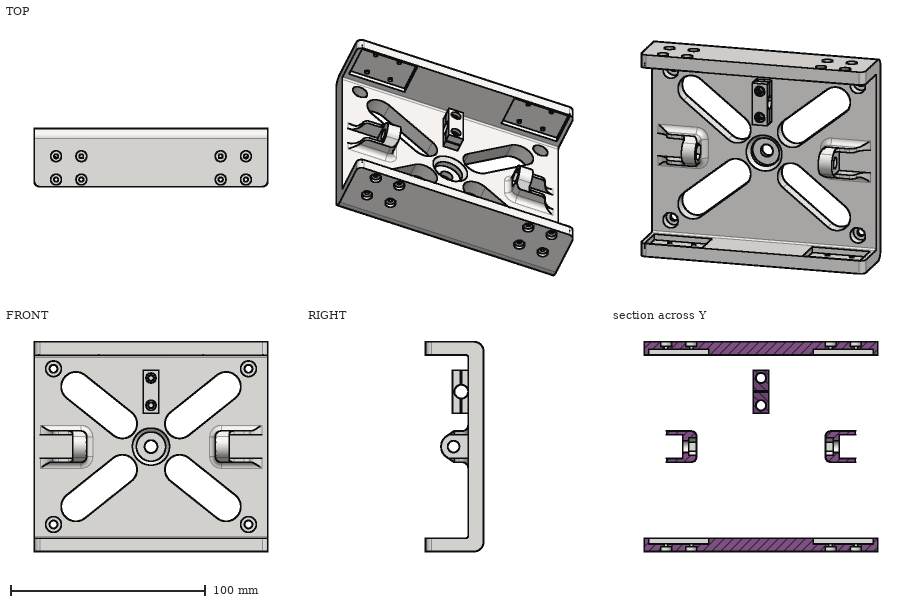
import cadquery as cq
import math


WIDTH = 120.0
DEPTH = 30.0
HEIGHT = 107.8
PLATE_THICK = 8.0
FLANGE_THICK = 7.0
BACK_ROUND = 5.0
INNER_FILLET = 1.0
FLANGE_CORNER_R = 3.0
FRONT_Y = PLATE_THICK - DEPTH
FLANGE_INNER_Z = HEIGHT / 2 - FLANGE_THICK

MOUNT_X = 50.0
MOUNT_Z = 40.0
MOUNT_DIA = 4.0
MOUNT_BORE_DIA = 8.0
MOUNT_BORE_DEPTH = 6.0

SLOT_WIDTH = 15.0
SLOT_INNER_REACH = 18.8
SLOT_OUTER_REACH = 49.3
SLOT_ANGLE = math.degrees(math.atan2(MOUNT_Z, MOUNT_X))

CENTRE_DIA = 6.5
CENTRE_BORE_DIA = 15.0
CENTRE_BORE_DEPTH = 4.8
CENTRE_CHAMFER = 2.0

SCREW_GROUP_X = 42.2
SCREW_PITCH_X = 13.0
SCREW_PITCH_Y = 12.0
SCREW_FRONT_MARGIN = 3.7
SCREW_DIA = 2.2
SCREW_BORE_DIA = 5.5
SCREW_BORE_DEPTH = 2.4
POCKET_LENGTH = 30.7
POCKET_WIDTH = 17.5
POCKET_DEPTH = 3.0
POCKET_FRONT_WALL = 0.7

LUG_INNER_X = 33.0
LUG_END_X = 56.9
LUG_HALF_HEIGHT = 8.0
LUG_SHOULDER = 7.1
LUG_CORNER_R = 3.0
LUG_FOOT_FILLET = 3.0
CHANNEL_HALF_HEIGHT = 6.0
BOSS_LENGTH = 7.2
BOSS_RADIUS = 6.5
BOSS_RISE = 7.5
BOSS_HOLE_DIA = 5.9
NUT_FLATS = 8.0
NUT_DEPTH = 4.1
ARM_FLAT_END_X = 47.6
ARM_ROOT_R = 2.2
ARM_TOE_R = 6.5
BOSS_OUTER_X = LUG_INNER_X + BOSS_LENGTH
LUG_TOP_RISE = BOSS_RISE + BOSS_RADIUS

CLAMP_WIDTH = 8.0
CLAMP_LENGTH = 22.2
CLAMP_Z = 28.2
CLAMP_RISE = 8.0
CLAMP_GAP = 0.5
ROD_BORE_DIA = 7.0
ROD_RISE = ROD_BORE_DIA / 2
BASE_RISE = ROD_RISE
CLAMP_SCREW_PITCH = 14.0
CAP_HOLE_DIA = 3.1
CAP_BORE_DIA = 5.2
CAP_BORE_DEPTH = 2.0
BASE_HOLE_DIA = 2.8

SIDES = (-1, 1)
MARGIN = 1.2
PICK = 0.06


def cylinder(start, direction, diameter, length):
    """Cylinder from the start point along the direction."""
    solid = cq.Solid.makeCylinder(diameter / 2, length, cq.Vector(*start), cq.Vector(*direction))
    return cq.Workplane(solid)


def counterbore(start, direction, hole_dia, hole_length, bore_dia, bore_depth):
    """Through hole with a wider bore at its start."""
    hole = cylinder(start, direction, hole_dia, hole_length)
    return hole.union(cylinder(start, direction, bore_dia, bore_depth))


def channel():
    body = cq.Workplane("XY").box(WIDTH, DEPTH, HEIGHT).translate((0, PLATE_THICK - DEPTH / 2, 0))
    body = body.edges("|X and >Y").fillet(BACK_ROUND)
    body = body.edges("|Z and <Y").fillet(FLANGE_CORNER_R)
    opening = cq.Workplane("XY").box(WIDTH + 2 * MARGIN, DEPTH, 2 * FLANGE_INNER_Z)
    opening = opening.translate((0, -DEPTH / 2, 0)).edges("|X and >Y").fillet(INNER_FILLET)
    return body.cut(opening)


def lug_blank():
    """Full-length +X lug, rooted inside the plate, with flanks tangent to the boss cylinder."""
    drop = BOSS_RISE - LUG_SHOULDER
    shoulder_distance = math.hypot(LUG_HALF_HEIGHT, drop)
    tangent_angle = math.acos(BOSS_RADIUS / shoulder_distance) - math.atan2(drop, LUG_HALF_HEIGHT)
    tangent_z = BOSS_RADIUS * math.cos(tangent_angle)
    tangent_rise = BOSS_RISE + BOSS_RADIUS * math.sin(tangent_angle)
    root_y = PLATE_THICK / 2
    blank = (
        cq.Workplane("YZ", origin=(LUG_INNER_X, 0, 0))
        .moveTo(root_y, -LUG_HALF_HEIGHT)
        .lineTo(-LUG_SHOULDER, -LUG_HALF_HEIGHT)
        .lineTo(-tangent_rise, -tangent_z)
        .threePointArc((-LUG_TOP_RISE, 0), (-tangent_rise, tangent_z))
        .lineTo(-LUG_SHOULDER, LUG_HALF_HEIGHT)
        .lineTo(root_y, LUG_HALF_HEIGHT)
        .close()
        .extrude(LUG_END_X - LUG_INNER_X)
    )
    return blank.edges("|Y and <X").fillet(LUG_CORNER_R)


def arm_relief():
    """Space above the +X arms: an S-curve up from the plate, a flat, and a root curve at the boss."""
    run = LUG_END_X - ARM_FLAT_END_X
    turn = 2 * math.atan2(LUG_SHOULDER, run)
    crest_r = run / math.sin(turn) - ARM_TOE_R

    def toe(angle):
        return LUG_END_X - ARM_TOE_R * math.sin(angle), -ARM_TOE_R * (1 - math.cos(angle))

    def crest(angle):
        return ARM_FLAT_END_X + crest_r * math.sin(angle), -LUG_SHOULDER + crest_r * (1 - math.cos(angle))

    root_mid = ARM_ROOT_R * (1 - math.sqrt(0.5))
    half_height = LUG_HALF_HEIGHT + LUG_FOOT_FILLET + MARGIN
    top_y = -LUG_TOP_RISE - MARGIN
    return (
        cq.Workplane("XY", origin=(0, 0, -half_height))
        .moveTo(LUG_END_X, 0)
        .threePointArc(toe(turn / 2), toe(turn))
        .threePointArc(crest(turn / 2), crest(0))
        .lineTo(BOSS_OUTER_X + ARM_ROOT_R, -LUG_SHOULDER)
        .threePointArc(
            (BOSS_OUTER_X + root_mid, -LUG_SHOULDER - root_mid),
            (BOSS_OUTER_X, -LUG_SHOULDER - ARM_ROOT_R),
        )
        .lineTo(BOSS_OUTER_X, top_y)
        .lineTo(LUG_END_X + MARGIN, top_y)
        .lineTo(LUG_END_X + MARGIN, 0)
        .close()
        .extrude(2 * half_height)
    )


def arm_channel():
    """Space between the two +X arms, down to the plate."""
    length = LUG_END_X + MARGIN - BOSS_OUTER_X
    height = LUG_TOP_RISE + MARGIN
    block = cq.Workplane("XY").box(length, height, 2 * CHANNEL_HALF_HEIGHT)
    return block.translate((BOSS_OUTER_X + length / 2, -height / 2, 0))


def boss_hole():
    """Cross hole through the +X boss, with a hexagonal nut pocket on its inner face."""
    start_x = LUG_INNER_X - LUG_FOOT_FILLET - MARGIN
    hole = cylinder((start_x, -BOSS_RISE, 0), (1, 0, 0), BOSS_HOLE_DIA, BOSS_OUTER_X - start_x)
    nut_pocket = (
        cq.Workplane("YZ", origin=(start_x, -BOSS_RISE, 0))
        .polygon(6, NUT_FLATS, circumscribed=True)
        .extrude(LUG_INNER_X + NUT_DEPTH - start_x)
    )
    return hole.union(nut_pocket)


def add_lugs(body):
    """Blend a lug blank into the plate on each side, then carve both to shape."""
    blank = lug_blank()
    body = body.union(blank).union(blank.mirror("YZ"))
    for side in SIDES:
        near_x, far_x = sorted((side * (LUG_INNER_X - PICK), side * (LUG_END_X - PICK)))
        foot = cq.selectors.BoxSelector(
            (near_x, -PICK, -LUG_HALF_HEIGHT - PICK),
            (far_x, PICK, LUG_HALF_HEIGHT + PICK),
        )
        body = body.edges(foot).fillet(LUG_FOOT_FILLET)
    for cutter in (arm_relief(), arm_channel(), boss_hole()):
        body = body.cut(cutter).cut(cutter.mirror("YZ"))
    return body


def diagonal_slot(angle):
    return (
        cq.Workplane("XZ", origin=(0, PLATE_THICK, 0))
        .transformed(rotate=(0, 0, angle))
        .center((SLOT_INNER_REACH + SLOT_OUTER_REACH) / 2, 0)
        .slot2D(SLOT_OUTER_REACH - SLOT_INNER_REACH + SLOT_WIDTH, SLOT_WIDTH)
        .extrude(PLATE_THICK)
    )


def cut_plate_openings(body):
    """Mounting holes, diagonal slots and the central hole."""
    into_plate = (0, 1, 0)
    for side_x in SIDES:
        for side_z in SIDES:
            start = (side_x * MOUNT_X, 0, side_z * MOUNT_Z)
            body = body.cut(
                counterbore(start, into_plate, MOUNT_DIA, PLATE_THICK, MOUNT_BORE_DIA, MOUNT_BORE_DEPTH)
            )
    for angle in (SLOT_ANGLE, 180 - SLOT_ANGLE, 180 + SLOT_ANGLE, -SLOT_ANGLE):
        body = body.cut(diagonal_slot(angle))
    body = body.cut(
        counterbore((0, 0, 0), into_plate, CENTRE_DIA, PLATE_THICK, CENTRE_BORE_DIA, CENTRE_BORE_DEPTH)
    )
    bore_r = CENTRE_BORE_DIA / 2
    mouth = cq.Solid.makeCone(
        bore_r + CENTRE_CHAMFER, bore_r, CENTRE_CHAMFER, cq.Vector(0, 0, 0), cq.Vector(*into_plate)
    )
    return body.cut(cq.Workplane(mouth))


def cut_flange_pocket(body, side_x, side_z):
    """Inner pocket at one end of one flange, with its screw holes bored from outside."""
    group_x = side_x * SCREW_GROUP_X
    group_y = FRONT_Y + SCREW_FRONT_MARGIN + SCREW_PITCH_Y / 2
    pocket_y = FRONT_Y + POCKET_FRONT_WALL + POCKET_WIDTH / 2
    pocket = cq.Workplane("XY").box(POCKET_LENGTH, POCKET_WIDTH, 2 * POCKET_DEPTH)
    body = body.cut(pocket.translate((group_x, pocket_y, side_z * FLANGE_INNER_Z)))
    for step_x in SIDES:
        for step_y in SIDES:
            start = (
                group_x + step_x * SCREW_PITCH_X / 2,
                group_y + step_y * SCREW_PITCH_Y / 2,
                side_z * HEIGHT / 2,
            )
            body = body.cut(
                counterbore(
                    start, (0, 0, -side_z), SCREW_DIA, FLANGE_THICK, SCREW_BORE_DIA, SCREW_BORE_DEPTH
                )
            )
    return body


def make_frame():
    body = add_lugs(channel())
    body = cut_plate_openings(body)
    for side_x in SIDES:
        for side_z in SIDES:
            body = cut_flange_pocket(body, side_x, side_z)
    return body


def clamp_screw_z(side):
    return CLAMP_Z + side * CLAMP_SCREW_PITCH / 2


def clamp_slab(start_rise, end_rise):
    """Slice of the clamp between two heights above the plate, with the rod bore removed."""
    slab = cq.Workplane("XY").box(CLAMP_WIDTH, end_rise - start_rise, CLAMP_LENGTH)
    slab = slab.translate((0, -(start_rise + end_rise) / 2, CLAMP_Z))
    rod = cylinder((-CLAMP_WIDTH / 2, -ROD_RISE, CLAMP_Z), (1, 0, 0), ROD_BORE_DIA, CLAMP_WIDTH)
    return slab.cut(rod)


def make_cap():
    cap = clamp_slab(BASE_RISE + CLAMP_GAP, CLAMP_RISE)
    for side in SIDES:
        start = (0, -CLAMP_RISE, clamp_screw_z(side))
        cap = cap.cut(
            counterbore(start, (0, 1, 0), CAP_HOLE_DIA, CLAMP_RISE, CAP_BORE_DIA, CAP_BORE_DEPTH)
        )
    return cap


def make_base_block(side):
    """Base block above (side = 1) or below (side = -1) the rod."""
    half = cq.Workplane("XY").box(CLAMP_WIDTH, BASE_RISE, CLAMP_LENGTH / 2)
    half = half.translate((0, -BASE_RISE / 2, CLAMP_Z + side * CLAMP_LENGTH / 4))
    block = clamp_slab(0, BASE_RISE).intersect(half)
    start = (0, -BASE_RISE, clamp_screw_z(side))
    return block.cut(cylinder(start, (0, 1, 0), BASE_HOLE_DIA, BASE_RISE))


frame = make_frame().solids().val()
cap = make_cap().solids().val()
base_blocks = [make_base_block(side).solids().val() for side in SIDES]

result = cq.Compound.makeCompound([frame, cap, *base_blocks])